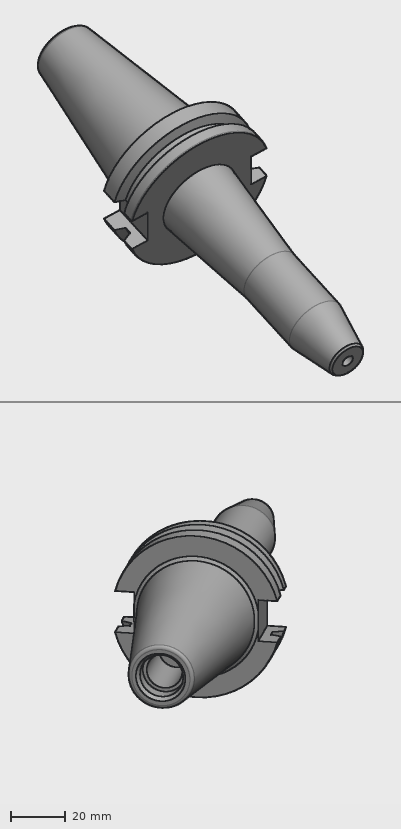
import cadquery as cq

total_length = 182.6

taper_end_x = 68.5
taper_large_diameter = 44.4
taper_ratio = 7 / 24
rear_rim_radius = 1.5

flange_start_x = 69.4
flange_end_x = 87.3
flange_diameter = 63.2
flange_chamfer_length = 0.7
flange_chamfer_depth = 0.2
neck_diameter = 47.3
groove_diameter = 55.5
groove_top_start_x = 76.2
groove_floor_start_x = 77.6
groove_floor_end_x = 80.5
groove_top_end_x = 82.4

slot_width = 16.0
slot_floor_y = 23.4

nose_root_diameter = 32.5
shaft_start_x = 132.8
shaft_end_x = 162.0
shaft_diameter = 24.0
tip_diameter = 15.3
tip_chamfer_length = 1.0
tip_face_diameter = 13.9

bore_mouth_diameter = 18.6
bore_diameter = 16.3
bore_mouth_depth = 1.8
bore_depth = 7.5
inner_bore_diameter = 13.3
inner_bore_depth = 31.0
coolant_mouth_diameter = 6.2
coolant_diameter = 4.7


def revolve_about_x(points):
    """Revolve a closed outline of (x, diameter) points about the X axis."""
    outline = [(x, diameter / 2) for x, diameter in points]
    return cq.Workplane("XY").polyline(outline).close().revolve(360, (0, 0, 0), (1, 0, 0))


def make_body():
    rear_diameter = taper_large_diameter - taper_ratio * taper_end_x
    body = revolve_about_x([
        (0, 0),
        (0, rear_diameter),
        (taper_end_x, taper_large_diameter),
        (flange_start_x, neck_diameter),
        (flange_start_x, flange_diameter),
        (groove_top_start_x, flange_diameter),
        (groove_floor_start_x, groove_diameter),
        (groove_floor_end_x, groove_diameter),
        (groove_top_end_x, flange_diameter),
        (flange_end_x - flange_chamfer_length, flange_diameter),
        (flange_end_x, flange_diameter - 2 * flange_chamfer_depth),
        (flange_end_x, nose_root_diameter),
        (shaft_start_x, shaft_diameter),
        (shaft_end_x, shaft_diameter),
        (total_length - tip_chamfer_length, tip_diameter),
        (total_length, tip_face_diameter),
        (total_length, 0),
    ])
    return body.faces("<X").edges().fillet(rear_rim_radius)


def make_bore():
    coolant_cone_end_x = inner_bore_depth + (coolant_mouth_diameter - coolant_diameter) / 2
    return revolve_about_x([
        (0, 0),
        (0, bore_mouth_diameter),
        (bore_mouth_depth, bore_diameter),
        (bore_depth, bore_diameter),
        (bore_depth, inner_bore_diameter),
        (inner_bore_depth, inner_bore_diameter),
        (inner_bore_depth, coolant_mouth_diameter),
        (coolant_cone_end_x, coolant_diameter),
        (total_length, coolant_diameter),
        (total_length, 0),
    ])


def make_slot(side):
    """Box cutting one flange slot; side is +1 or -1 along Y."""
    slot_length = flange_end_x - taper_end_x
    slot_depth = flange_diameter / 2 - slot_floor_y
    center_x = (taper_end_x + flange_end_x) / 2
    center_y = side * (slot_floor_y + slot_depth / 2)
    return cq.Workplane("XY").box(slot_length, slot_depth, slot_width).translate((center_x, center_y, 0))


result = make_body().cut(make_bore())
for side in (1, -1):
    result = result.cut(make_slot(side))